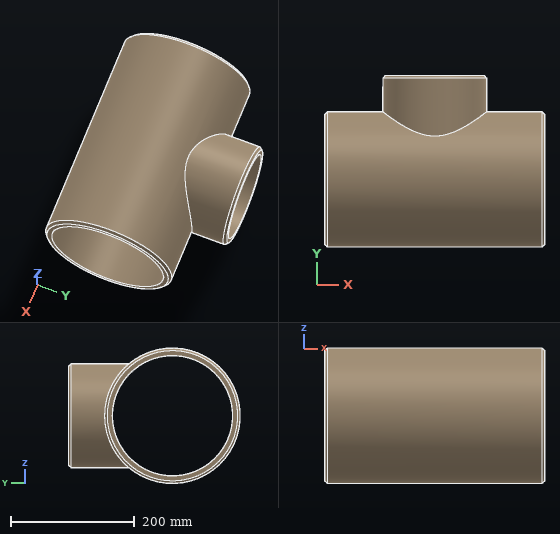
import cadquery as cq

run_length = 355.5
run_diameter = 219.0
run_bore = 193.8
branch_diameter = 168.2
branch_bore = 144.5
branch_reach = 168.2
bevel_length = 4.5
bevel_depth = 4.3


def run_outside():
    """Solid run along X, bevelled at both ends."""
    radius = run_diameter / 2
    half_length = run_length / 2
    end_radius = radius - bevel_depth
    profile = (
        cq.Workplane("XY")
        .moveTo(-half_length, 0)
        .lineTo(-half_length, end_radius)
        .lineTo(-half_length + bevel_length, radius)
        .lineTo(half_length - bevel_length, radius)
        .lineTo(half_length, end_radius)
        .lineTo(half_length, 0)
        .close()
    )
    return profile.revolve(360, (0, 0, 0), (1, 0, 0))


def branch_outside():
    """Solid branch from the run axis to its bevelled end face."""
    radius = branch_diameter / 2
    profile = (
        cq.Workplane("XY")
        .lineTo(radius, 0)
        .lineTo(radius, branch_reach - bevel_length)
        .lineTo(radius - bevel_depth, branch_reach)
        .lineTo(0, branch_reach)
        .close()
    )
    return profile.revolve(360, (0, 0, 0), (0, 1, 0))


def bores():
    """Through bore of the run joined by the branch bore."""
    run_hole = cq.Workplane("YZ").circle(run_bore / 2).extrude(run_length / 2, both=True)
    branch_hole = cq.Workplane("XZ").circle(branch_bore / 2).extrude(-branch_reach)
    return run_hole.union(branch_hole)


result = run_outside().union(branch_outside()).cut(bores())